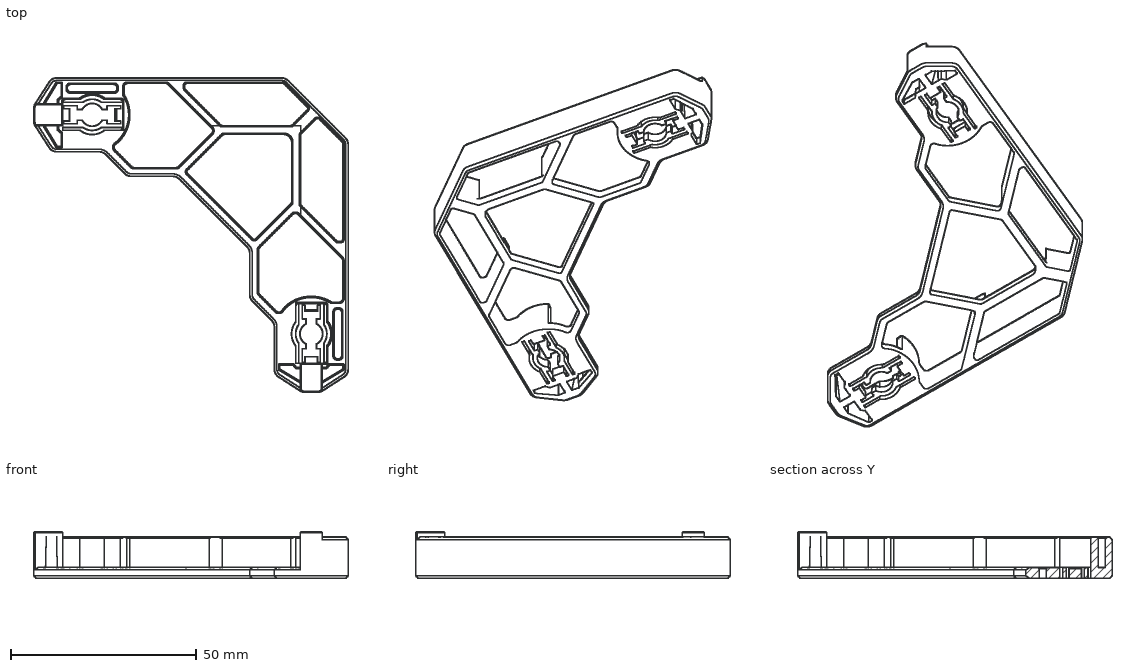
import cadquery as cq
import math

SIZE = 85.0
BASE_HEIGHT = 3.0
WALL_HEIGHT = 11.2
BLOCK_HEIGHT = 12.6
EDGE_CHAMFER = 0.7
LIP = 0.35
CUT_MARGIN = 1.0

WALL = 1.5
PAD_WIDTH = 20.0
CORNER_CUT = 17.0
END_SLANT = 4.9
END_FLAT_HALF = 2.4
STEP_START = 18.7
STEP_DEPTH = 26.65
BAR = 2.4
BAR_END = 38.6
INNER_BAR_TOP = 12.9
INNER_BAR_BOTTOM = INNER_BAR_TOP + BAR
CELL_FILLET = 0.6
SIDE_CELL_FILLET = 1.0
MIDDLE_CORNER_FILLET = 2.2
OUTER_FILLET = 2.5

PAD_CENTRE = PAD_WIDTH / 2
HOLE_ALONG = 15.8
PAD_RADIUS = 10.2
BLOCK_LENGTH = 7.9
BLOCK_HALF = 3.0
BLOCK_CHAMFER = 0.3
CLIP_START = BLOCK_LENGTH
CLIP_END = 24.0
CLIP_HALF = 4.15
CLIP_RADIUS = 5.3
RAIL_HALF = 3.45
RAIL_RADIUS = 4.25
OPENING_HALF_LENGTH = 7.7
OPENING_HALF_WIDTH = 2.4
HOLE_RADIUS = 3.05
TOOTH_CENTRE = 3.1
TOOTH_LENGTH = 1.9
TOOTH_GAP = 2.8
TAB_LENGTH = 1.6
TAB_WIDTH = 3.4
TAB_CHAMFER = 0.5

POCKET_LENGTH = 13.4
POCKET_WIDTH = 2.0
POCKET_DEPTH = 2.8
POCKET_FILLET = 0.8

RECESS_TOP = 11.3
RECESS_START = 3.1
RECESS_TOP_START = 3.4
RECESS_END = 6.4
RECESS_TOP_END = 6.2
RECESS_DEPTH = 2.0


def at(along, depth):
    return (along - SIZE, -depth)


def swapped(point):
    """Mirror image of an arm point (along, depth) on the other arm, in the same terms."""
    along, depth = point
    return (SIZE - depth, SIZE - along)


def both_arms(solid):
    return solid.union(solid.mirror(cq.Vector(1, -1, 0)))


def closed(points, z=0.0):
    return cq.Workplane("XY").workplane(offset=z).polyline([at(*p) for p in points]).close()


def prism(points, height, z=0.0):
    return closed(points, z).extrude(height)


def box(start, end, top, bottom, height, z=0.0):
    return prism([(start, top), (end, top), (end, bottom), (start, bottom)], height, z)


def disc(radius, height, z=0.0):
    centre = at(HOLE_ALONG, PAD_CENTRE)
    return cq.Workplane("XY").workplane(offset=z).center(*centre).circle(radius).extrude(height)


def outline_prism(height):
    """The full outline of the bracket, rounded at its corners, with a chamfered bottom edge."""
    end_flat = [(0, PAD_CENTRE + END_FLAT_HALF), (0, PAD_CENTRE - END_FLAT_HALF)]
    arm = [
        (BAR_END, STEP_DEPTH),
        (STEP_START + STEP_DEPTH - PAD_WIDTH, STEP_DEPTH),
        (STEP_START, PAD_WIDTH),
        (END_SLANT, PAD_WIDTH),
        *end_flat,
        (END_SLANT, 0),
        (SIZE - CORNER_CUT, 0),
    ]
    body = prism(arm + [swapped(p) for p in reversed(arm)], height)
    body = body.edges("|Z").fillet(OUTER_FILLET)
    return body.faces("<Z").chamfer(EDGE_CHAMFER)


def side_cell(height):
    """Opening beside the pad; its edge next to the pad follows the pad's circle."""
    bay_start = 24.4
    rib_start = 36.0
    apex = 48.8
    notch_start, notch_depth = 21.2, 18.7
    bar_top = STEP_DEPTH - BAR
    apex_depth = WALL + apex - rib_start
    diagonal = PAD_RADIUS * math.sqrt(0.5)
    arc_start = at(HOLE_ALONG + diagonal, PAD_CENTRE + diagonal)
    arc_middle = at(HOLE_ALONG + PAD_RADIUS, PAD_CENTRE)
    arc_rise = math.sqrt(PAD_RADIUS**2 - (bay_start - HOLE_ALONG) ** 2)
    outline = (
        cq.Workplane("XY")
        .moveTo(*at(bay_start, WALL))
        .lineTo(*at(rib_start, WALL))
        .lineTo(*at(apex, apex_depth))
        .lineTo(*at(apex + apex_depth - bar_top, bar_top))
        .lineTo(*at(notch_start + bar_top - notch_depth, bar_top))
        .lineTo(*at(notch_start, notch_depth))
        .lineTo(*arc_start)
        .threePointArc(arc_middle, at(bay_start, PAD_CENTRE - arc_rise))
        .close()
    )
    return outline.extrude(height).edges("|Z").fillet(SIDE_CELL_FILLET)


def corner_cell(height):
    """Opening between the outer wall, the inner bar and the two ribs."""
    start = 40.8
    rib_depth = 3.0
    tip = (74.3, 8.3)
    points = [
        (start, WALL),
        (tip[0] - tip[1] + WALL, WALL),
        tip,
        (tip[0] + tip[1] - INNER_BAR_TOP, INNER_BAR_TOP),
        (start + INNER_BAR_TOP - rib_depth, INNER_BAR_TOP),
        (start, rib_depth),
    ]
    return prism(points, height).edges("|Z").fillet(CELL_FILLET)


def end_window(side, height):
    """Opening between the slanted end wall, the block and the pad, on one side of the block."""
    slant_start = 3.0
    slant_end = 6.3
    pad_edge = 7.4
    bevel_start, bevel_end = 4.1, 5.0
    half = PAD_CENTRE - WALL
    points = [
        (slant_start, BLOCK_HALF),
        (RECESS_END, BLOCK_HALF),
        (RECESS_END, bevel_start),
        (pad_edge, bevel_end),
        (pad_edge, half),
        (slant_end, half),
    ]
    return prism([(along, PAD_CENTRE + side * offset) for along, offset in points], height)


def middle_cell(height):
    """Symmetric opening in the middle of the frame, with one large rounded corner."""
    corner_start = SIZE - INNER_BAR_BOTTOM
    half = [(41.1, 25.4), (51.2, INNER_BAR_BOTTOM)]
    points = half + [(corner_start, INNER_BAR_BOTTOM)] + [swapped(p) for p in reversed(half)]
    column = prism(points, height)
    corner = at(corner_start, INNER_BAR_BOTTOM)
    column = column.edges(cq.NearestToPointSelector((*corner, height / 2))).fillet(MIDDLE_CORNER_FILLET)
    for point in half + [swapped(p) for p in half]:
        edge = cq.NearestToPointSelector((*at(*point), height / 2))
        column = column.edges(edge).fillet(CELL_FILLET)
    return column


def with_rim(column, top):
    """The cutting column, flared to leave a small chamfer where it meets the given top level."""
    rim = column.faces("<Z").wires().toPending().extrude(LIP, taper=-45, combine=False)
    bottom = column.val().BoundingBox().zmin
    return column.union(rim.translate((0, 0, top - LIP - bottom)))


def cut_cells(body, top):
    depth = top + CUT_MARGIN
    for cell in (side_cell(depth), corner_cell(depth)):
        body = body.cut(both_arms(with_rim(cell, top)))
    for side in (-1, 1):
        body = body.cut(both_arms(with_rim(end_window(side, depth), top)))
    return body.cut(with_rim(middle_cell(depth), top))


def tall_zone():
    """Area that rises to the wall height: outer wall, ribs and the surround of the clip."""
    pad_limit = 27.0
    zone = box(HOLE_ALONG, pad_limit, 0, PAD_CENTRE + CLIP_HALF, WALL_HEIGHT)
    zone = zone.union(box(0, SIZE, 0, INNER_BAR_TOP, WALL_HEIGHT))
    zone = zone.cut(box(0, BLOCK_LENGTH, PAD_CENTRE, PAD_WIDTH, WALL_HEIGHT))
    clip_height = WALL_HEIGHT - BASE_HEIGHT
    well = box(
        CLIP_START, CLIP_END, PAD_CENTRE - CLIP_HALF, PAD_CENTRE + CLIP_HALF, clip_height, BASE_HEIGHT
    )
    well = well.edges("|Z").fillet(CELL_FILLET).union(disc(CLIP_RADIUS, clip_height, BASE_HEIGHT))
    return both_arms(zone.cut(with_rim(well, WALL_HEIGHT)))


def block_zone():
    return box(0, BLOCK_LENGTH, PAD_CENTRE - BLOCK_HALF, PAD_CENTRE + BLOCK_HALF, BLOCK_HEIGHT)


def block():
    shape = outline_prism(BLOCK_HEIGHT).intersect(block_zone())
    return both_arms(shape.faces(">Z").chamfer(BLOCK_CHAMFER))


def block_recess(side):
    """Wedge that runs out at its top, cut into one side of the block."""
    face = PAD_CENTRE + side * BLOCK_HALF
    inner = face - side * RECESS_DEPTH
    outer = face + side * CUT_MARGIN
    lower = [
        (RECESS_START, outer),
        (RECESS_END, outer),
        (RECESS_END, inner),
        (RECESS_START, inner),
    ]
    upper = [
        (RECESS_TOP_START, outer),
        (RECESS_TOP_END, outer),
        (RECESS_TOP_END, face),
        (RECESS_TOP_START, face),
    ]
    wedge = closed(lower)
    wedge = wedge.workplane(offset=RECESS_TOP).polyline([at(*p) for p in upper]).close()
    return wedge.loft(ruled=True).intersect(block_zone())


def clip_slots():
    """Two slots that free the clip's rails, bulging around the hole."""
    def band(half, radius):
        strip = box(CLIP_START, CLIP_END, PAD_CENTRE - half, PAD_CENTRE + half, BASE_HEIGHT)
        return strip.union(disc(radius, BASE_HEIGHT))
    return band(CLIP_HALF, CLIP_RADIUS).cut(band(RAIL_HALF, RAIL_RADIUS))


def clip_opening():
    """Opening along the clip, narrowed by teeth beside the round hole and by a tab at each end.

    The tab farther from the arm's end has a chamfered tip.
    """
    def centred(offset, length, width):
        middle = HOLE_ALONG + offset
        return box(
            middle - length / 2, middle + length / 2,
            PAD_CENTRE - width / 2, PAD_CENTRE + width / 2, BASE_HEIGHT,
        )
    opening = centred(0, 2 * OPENING_HALF_LENGTH, 2 * OPENING_HALF_WIDTH)
    for sign in (-1, 1):
        tooth = centred(sign * TOOTH_CENTRE, TOOTH_LENGTH, 2 * OPENING_HALF_WIDTH)
        opening = opening.cut(tooth.cut(centred(0, SIZE, TOOTH_GAP)))
        tab_offset = sign * (OPENING_HALF_LENGTH - TAB_LENGTH / 2)
        tab = centred(tab_offset, TAB_LENGTH, TAB_WIDTH)
        if sign > 0:
            tab = tab.faces("<X").edges(">Z").chamfer(TAB_CHAMFER)
        opening = opening.cut(tab)
    core = centred(0, 2 * TOOTH_CENTRE - TOOTH_LENGTH, 2 * OPENING_HALF_WIDTH)
    return opening.cut(core).union(disc(HOLE_RADIUS, BASE_HEIGHT))


def wall_pocket():
    pocket = box(
        HOLE_ALONG - POCKET_LENGTH / 2, HOLE_ALONG + POCKET_LENGTH / 2,
        POCKET_DEPTH - POCKET_WIDTH / 2, POCKET_DEPTH + POCKET_WIDTH / 2,
        WALL_HEIGHT - BASE_HEIGHT, BASE_HEIGHT,
    )
    return with_rim(pocket.edges("|Z").fillet(POCKET_FILLET), WALL_HEIGHT)


base = cut_cells(outline_prism(BASE_HEIGHT).faces(">Z").chamfer(EDGE_CHAMFER), BASE_HEIGHT)
walls = outline_prism(WALL_HEIGHT).faces(">Z").chamfer(EDGE_CHAMFER).intersect(tall_zone())
walls = cut_cells(walls, WALL_HEIGHT)

result = base.union(walls).union(block())
for side in (-1, 1):
    result = result.cut(both_arms(block_recess(side)))
for cutter in (clip_slots(), clip_opening(), wall_pocket()):
    result = result.cut(both_arms(cutter))